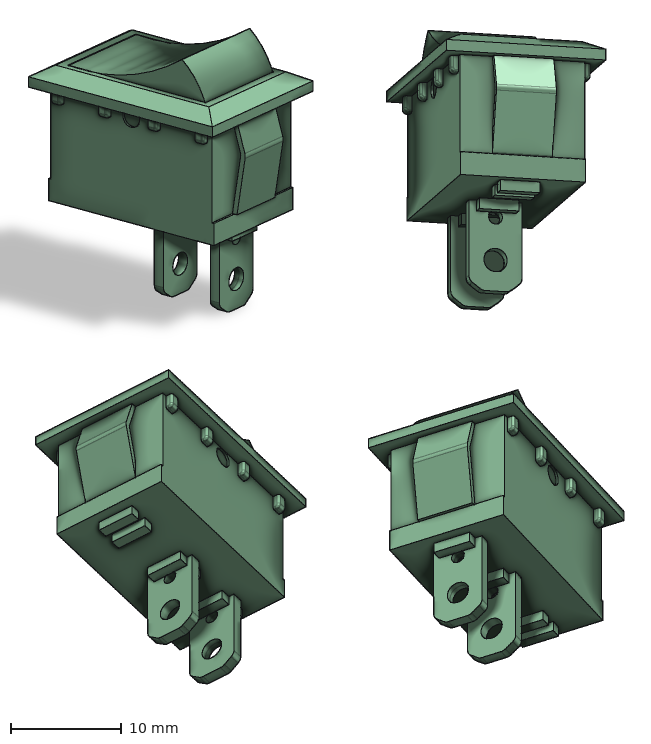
import cadquery as cq
import math


BEZEL_LENGTH = 20.95
BEZEL_WIDTH = 14.85
BEZEL_RIM_HEIGHT = 1.0
BEZEL_HEIGHT = 2.0
BEZEL_BEVEL_RUN = 1.75

CASE_LENGTH = 18.35
CASE_WIDTH = 11.65
CASE_BOTTOM = -11.15
BASE_LENGTH = 18.8
BASE_TOP = -9.03

PIVOT_Z = -0.98
PIVOT_RADIUS = 0.95
PIVOT_RECESS = 0.23
ROCKER_RADIUS = 8.3
ROCKER_WIDTH = 9.98
ROCKER_CLEARANCE = 0.08
ROCKER_PEAK = 5.55
ROCKER_TILT = 15.5
DISH_DEPTH = 1.18

CLIP_WIDTH = 5.58
CLIP_THICKNESS = 0.53
CLIP_TOP_X = 9.68
CLIP_APEX_X = 10.65
CLIP_APEX_Z = -3.15
CLIP_APEX_RADIUS = 1.0
LEFT_CLIP_FOOT_Z = -8.88

RIB_POSITIONS = (2.8, 8.15)
RIB_LENGTH = 1.03
RIB_DEPTH = 0.68
RIB_HEIGHT = 1.53
RIB_TOE_RADIUS = 0.45
RIB_EDGE_RADIUS = 0.23

FOOT_WIDTH = 3.68
FOOT_HEIGHT = 1.0
SMALL_FOOT_LENGTH = 1.0
SMALL_FOOT_POSITIONS = (-7.9, -5.95)
TERMINAL_FOOT_LENGTH = 3.08

TERMINAL_POSITIONS = (0.5, 6.88)
TERMINAL_THICKNESS = 1.05
TERMINAL_WIDTH = 4.95
TERMINAL_OFFSET_Y = 0.08
TERMINAL_BOTTOM = -19.47
TERMINAL_CHAMFER_RUN = 1.25
TERMINAL_CHAMFER_RISE = 0.93
TERMINAL_CORNER_RADIUS = 0.75
SMALL_HOLE_DIAMETER = 1.28
SMALL_HOLE_Z = -12.6
LARGE_HOLE_DIAMETER = 2.15
LARGE_HOLE_Z = -16.6


def block(length, width, bottom, top, x=0.0, y=0.0):
    """Upright block centred on (x, y) and reaching from bottom to top."""
    return cq.Workplane("XY", origin=(x, y, bottom)).box(
        length, width, top - bottom, centered=(True, True, False)
    )


def pivot_cylinder(radius, width):
    """Cylinder around the pivot axis, centred on Y = 0."""
    return cq.Workplane("XZ", origin=(0, 0, PIVOT_Z)).circle(radius).extrude(width / 2, both=True)


def make_bezel():
    rim = block(BEZEL_LENGTH, BEZEL_WIDTH, 0, BEZEL_RIM_HEIGHT)
    bevel = (
        cq.Workplane("XY", origin=(0, 0, BEZEL_RIM_HEIGHT))
        .rect(BEZEL_LENGTH, BEZEL_WIDTH)
        .workplane(offset=BEZEL_HEIGHT - BEZEL_RIM_HEIGHT)
        .rect(BEZEL_LENGTH - 2 * BEZEL_BEVEL_RUN, BEZEL_WIDTH - 2 * BEZEL_BEVEL_RUN)
        .loft(combine=True)
    )
    return rim.union(bevel)


def make_case():
    case = block(CASE_LENGTH, CASE_WIDTH, CASE_BOTTOM, 0)
    base = block(BASE_LENGTH, CASE_WIDTH, CASE_BOTTOM, BASE_TOP)
    return case.union(base)


def make_clip(side, foot_x, foot_z):
    """Bent strip on one end (side is -1 or 1); foot_x is the outer face of its lower end."""
    outer = [(CLIP_TOP_X, 0), (CLIP_APEX_X, CLIP_APEX_Z), (foot_x, foot_z)]
    inner = [(x - CLIP_THICKNESS, z) for x, z in reversed(outer)]
    profile = [(side * x, z) for x, z in outer + inner]
    strip = cq.Workplane("XZ").polyline(profile).close().extrude(CLIP_WIDTH / 2, both=True)
    apex_x = side * CLIP_APEX_X
    inner_apex_x = side * (CLIP_APEX_X - CLIP_THICKNESS)
    strip = strip.edges(cq.NearestToPointSelector((apex_x, 0, CLIP_APEX_Z))).fillet(CLIP_APEX_RADIUS)
    inner_edge = cq.NearestToPointSelector((inner_apex_x, 0, CLIP_APEX_Z))
    return strip.edges(inner_edge).fillet(CLIP_APEX_RADIUS - CLIP_THICKNESS)


def make_rib(x, side):
    """Rounded rib on one long face of the case (side is -1 or 1)."""
    rib = block(RIB_LENGTH, 2 * RIB_DEPTH, -RIB_HEIGHT, 0, x, side * CASE_WIDTH / 2)
    outward = ">Y" if side > 0 else "<Y"
    rib = rib.faces(outward).edges("<Z").fillet(RIB_TOE_RADIUS)
    return rib.faces(outward).edges("<X or >X").fillet(RIB_EDGE_RADIUS)


def make_terminal(x):
    """Flat blade with two holes and rounded, bevelled lower corners."""
    half_width = TERMINAL_WIDTH / 2
    flat_half = half_width - TERMINAL_CHAMFER_RUN
    bevel_top = TERMINAL_BOTTOM + TERMINAL_CHAMFER_RISE
    lower_corners = [
        (half_width, bevel_top),
        (flat_half, TERMINAL_BOTTOM),
        (-flat_half, TERMINAL_BOTTOM),
        (-half_width, bevel_top),
    ]
    profile = [(-half_width, CASE_BOTTOM), (half_width, CASE_BOTTOM)] + lower_corners
    plane = cq.Workplane("YZ", origin=(x, TERMINAL_OFFSET_Y, 0))
    blade = plane.polyline(profile).close().extrude(TERMINAL_THICKNESS / 2, both=True)
    blade = blade.edges("|X").edges("not(>Z)").fillet(TERMINAL_CORNER_RADIUS)
    for z, diameter in ((SMALL_HOLE_Z, SMALL_HOLE_DIAMETER), (LARGE_HOLE_Z, LARGE_HOLE_DIAMETER)):
        hole = plane.center(0, z).circle(diameter / 2).extrude(TERMINAL_THICKNESS, both=True)
        blade = blade.cut(hole)
    return blade


def make_housing():
    housing = make_bezel().union(make_case())

    housing = housing.union(make_clip(-1, CASE_LENGTH / 2, LEFT_CLIP_FOOT_Z))
    housing = housing.union(make_clip(1, CASE_LENGTH / 2 + CLIP_THICKNESS, BASE_TOP))

    for distance in RIB_POSITIONS:
        for x in (-distance, distance):
            for side in (-1, 1):
                housing = housing.union(make_rib(x, side))

    foot_bottom = CASE_BOTTOM - FOOT_HEIGHT
    for x in SMALL_FOOT_POSITIONS:
        housing = housing.union(block(SMALL_FOOT_LENGTH, FOOT_WIDTH, foot_bottom, CASE_BOTTOM, x))
    foot_length = (TERMINAL_FOOT_LENGTH - TERMINAL_THICKNESS) / 2
    foot_distance = (TERMINAL_THICKNESS + foot_length) / 2
    for terminal_x in TERMINAL_POSITIONS:
        housing = housing.union(make_terminal(terminal_x))
        for x in (terminal_x - foot_distance, terminal_x + foot_distance):
            housing = housing.union(block(foot_length, FOOT_WIDTH, foot_bottom, CASE_BOTTOM, x))

    housing = housing.cut(pivot_cylinder(ROCKER_RADIUS + ROCKER_CLEARANCE, ROCKER_WIDTH))
    return housing.cut(pivot_cylinder(PIVOT_RADIUS, CASE_WIDTH))


def pivot_point(radius, angle):
    """Point (x, z) at a distance and an angle in degrees from the pivot axis."""
    turn = math.radians(angle)
    return (radius * math.cos(turn), PIVOT_Z + radius * math.sin(turn))


def make_rocker():
    """Drum on a pivot pin, with a concave top between a high and a low tip."""
    high_angle = math.degrees(math.asin((ROCKER_PEAK - PIVOT_Z) / ROCKER_RADIUS))
    middle_angle = 90 + ROCKER_TILT
    half_span = middle_angle - high_angle
    low_angle = middle_angle + half_span
    dish_radius = ROCKER_RADIUS * math.cos(math.radians(half_span)) - DISH_DEPTH
    drum = (
        cq.Workplane("XZ")
        .moveTo(*pivot_point(ROCKER_RADIUS, high_angle))
        .threePointArc(
            pivot_point(dish_radius, middle_angle),
            pivot_point(ROCKER_RADIUS, low_angle),
        )
        .threePointArc(
            pivot_point(ROCKER_RADIUS, middle_angle + 180),
            pivot_point(ROCKER_RADIUS, high_angle),
        )
        .close()
        .extrude(ROCKER_WIDTH / 2, both=True)
    )
    pin = pivot_cylinder(PIVOT_RADIUS, CASE_WIDTH - 2 * PIVOT_RECESS)
    return drum.union(pin)


housing = make_housing()
rocker = make_rocker()

result = cq.Compound.makeCompound([housing.val(), rocker.val()])